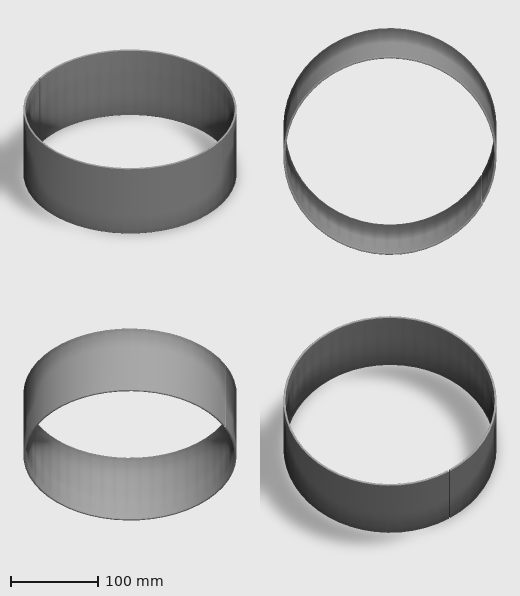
import cadquery as cq

outer_diameter = 245.0
wall = 2.5
height = 90.0
slit_width = 2.0
edge_chamfer = 0.5

outer_radius = outer_diameter / 2
inner_radius = outer_radius - wall

ring = cq.Workplane("XY").circle(outer_radius).circle(inner_radius).extrude(height)
ring = ring.faces("<Z or >Z").edges().chamfer(edge_chamfer)

slit_depth = 4 * wall
slit = (
    cq.Workplane("XY")
    .center(-outer_radius, slit_width / 2)
    .rect(slit_depth, slit_width)
    .extrude(height)
)

result = ring.cut(slit)